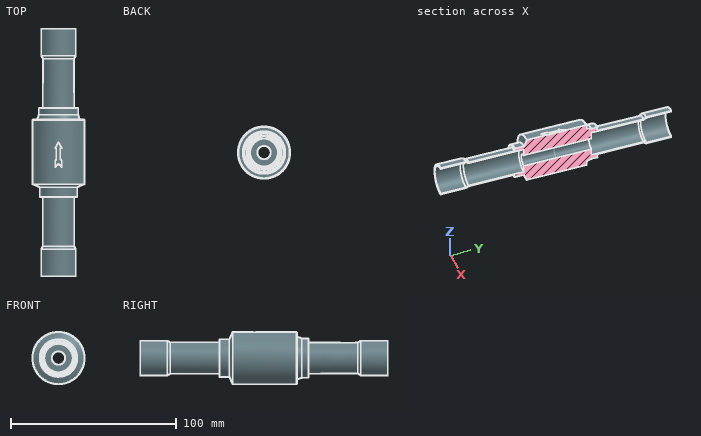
import cadquery as cq

length = 150.0
end_y = length / 2

wall = 1.0
pipe_diameter = 19.2
outlet_pipe_tip_diameter = 18.9
socket_diameter = 21.2
socket_length = 16.4
socket_taper_length = 1.8

body_diameter = 31.8
body_inlet_y = -19.0
body_outlet_y = 20.1
body_edge_chamfer = 0.5
inlet_cone_length = 2.0
inlet_collar_diameter = 23.0
inlet_collar_end_y = -27.0
outlet_collar_diameter = 24.0
outlet_collar_end_y = 27.0
outlet_flare_diameter = 26.0
outlet_flare_length = 2.8
collar_chamfer = 0.3
flow_diameter = 8.0

arrow_depth = 0.2
arrow_tip_y = 6.3
arrow_head_y = 2.5
arrow_shaft_end_y = -4.0
arrow_tail_y = -5.1
arrow_notch_y = -6.8
arrow_end_y = -8.8
arrow_half_width = 2.1
shaft_half_width = 1.2

inlet_cone_y = body_inlet_y - inlet_cone_length
outlet_flare_y = body_outlet_y + outlet_flare_length


def revolve_profile(diameter_stations):
    """Solid of revolution about Y through (diameter, y) stations."""
    points = [(diameter / 2, y) for diameter, y in diameter_stations]
    closed = [(0, points[0][1])] + points + [(0, points[-1][1])]
    return cq.Workplane("XY").polyline(closed).close().revolve(360, (0, 0), (0, 1))


def make_body():
    return revolve_profile([
        (inlet_collar_diameter - 2 * collar_chamfer, inlet_collar_end_y),
        (inlet_collar_diameter, inlet_collar_end_y + collar_chamfer),
        (inlet_collar_diameter, inlet_cone_y),
        (body_diameter, body_inlet_y),
        (body_diameter, body_outlet_y - body_edge_chamfer),
        (body_diameter - 2 * body_edge_chamfer, body_outlet_y),
        (outlet_flare_diameter, body_outlet_y),
        (outlet_collar_diameter, outlet_flare_y),
        (outlet_collar_diameter, outlet_collar_end_y - collar_chamfer),
        (outlet_collar_diameter - 2 * collar_chamfer, outlet_collar_end_y),
    ])


def make_pipe(side, root_y, tip_diameter, inset=0.0):
    """Pipe with its socket from root_y out to the end on one side (+1 or -1), shrunk by inset."""
    socket_y = end_y - socket_length
    return revolve_profile([
        (pipe_diameter - 2 * inset, root_y),
        (tip_diameter - 2 * inset, side * (socket_y - socket_taper_length)),
        (socket_diameter - 2 * inset, side * socket_y),
        (socket_diameter - 2 * inset, side * end_y),
    ])


def make_arrow():
    right_edge = [
        (arrow_half_width, arrow_head_y),
        (shaft_half_width, arrow_head_y),
        (shaft_half_width, arrow_shaft_end_y),
        (arrow_half_width, arrow_tail_y),
        (arrow_half_width, arrow_end_y),
    ]
    left_edge = [(-x, y) for x, y in reversed(right_edge)]
    outline = [(0, arrow_tip_y)] + right_edge + [(0, arrow_notch_y)] + left_edge
    block = cq.Workplane("XY").polyline(outline).close().extrude(body_diameter)
    core = (
        cq.Workplane("XZ")
        .circle(body_diameter / 2 - arrow_depth)
        .extrude(length / 2, both=True)
    )
    return block.cut(core)


pipe_ends = [
    (-1, inlet_collar_end_y, inlet_cone_y, pipe_diameter),
    (1, outlet_collar_end_y, outlet_flare_y, outlet_pipe_tip_diameter),
]

result = make_body()
for side, collar_y, bore_floor_y, tip_diameter in pipe_ends:
    result = result.union(make_pipe(side, collar_y, tip_diameter))
    result = result.cut(make_pipe(side, bore_floor_y, tip_diameter, wall))

passage = cq.Workplane("XZ").circle(flow_diameter / 2).extrude(length / 2, both=True)
result = result.cut(passage).cut(make_arrow())